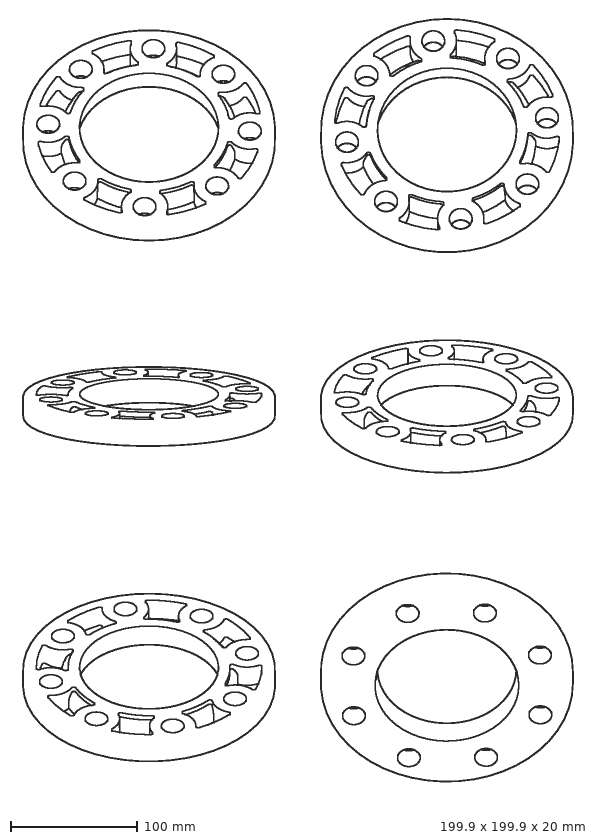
import cadquery as cq
import math

OUTER_DIAMETER = 199.9
BORE_TOP_DIAMETER = 110
BORE_BOTTOM_DIAMETER = 114
THICKNESS = 20
RIM_FILLET = 2.5

HOLE_COUNT = 8
HOLE_DIAMETER = 18
HOLE_CIRCLE_RADIUS = 80

POCKET_INNER_RADIUS = 64.2
POCKET_OUTER_RADIUS = 89.4
POCKET_FLOOR = 2
BOSS_RADIUS = 18.4
POCKET_CORNER_DIAMETER = 3.5

STEP_RADIUS = 70.4
STEP_DROP = 4.2
STEP_FILLET = STEP_RADIUS - POCKET_INNER_RADIUS


def annulus(inner_radius, outer_radius, bottom, top):
    """Flat ring between two radii and two heights."""
    ring = cq.Workplane("XY").workplane(offset=bottom).circle(outer_radius).circle(inner_radius)
    return ring.extrude(top - bottom)


def on_hole_circle(radius, bottom, top):
    """Round columns standing at every bolt hole position."""
    columns = cq.Workplane("XY").workplane(offset=bottom)
    columns = columns.polarArray(HOLE_CIRCLE_RADIUS, 0, 360, HOLE_COUNT).circle(radius)
    return columns.extrude(top - bottom)


def flange_ring():
    """Disc with rounded rims and a conical bore."""
    disc = cq.Workplane("XY").circle(OUTER_DIAMETER / 2).extrude(THICKNESS)
    disc = disc.edges().fillet(RIM_FILLET)
    bore = cq.Solid.makeCone(BORE_BOTTOM_DIAMETER / 2, BORE_TOP_DIAMETER / 2, THICKNESS)
    return disc.cut(bore)


def rounded_step():
    """Ring along the inner pocket walls, its top outer edge rounded by a quarter circle."""
    step_top = THICKNESS - STEP_DROP
    arc_low = step_top - STEP_FILLET
    diagonal = STEP_FILLET * math.sqrt(0.5)
    section = (
        cq.Workplane("XZ")
        .moveTo(BORE_TOP_DIAMETER / 2, 0)
        .lineTo(STEP_RADIUS, 0)
        .lineTo(STEP_RADIUS, arc_low)
        .threePointArc(
            (POCKET_INNER_RADIUS + diagonal, arc_low + diagonal),
            (POCKET_INNER_RADIUS, step_top),
        )
        .lineTo(BORE_TOP_DIAMETER / 2, step_top)
        .close()
    )
    return section.revolve(360, (0, 0, 0), (0, 1, 0))


def pockets():
    """Spaces left between the bosses, with rounded corners and a raised step inside."""
    space = annulus(POCKET_INNER_RADIUS, POCKET_OUTER_RADIUS, POCKET_FLOOR, THICKNESS)
    space = space.cut(on_hole_circle(BOSS_RADIUS, POCKET_FLOOR, THICKNESS))
    space = space.edges("|Z").fillet(POCKET_CORNER_DIAMETER / 2)
    return space.cut(rounded_step())


result = flange_ring().cut(pockets()).cut(on_hole_circle(HOLE_DIAMETER / 2, 0, THICKNESS))